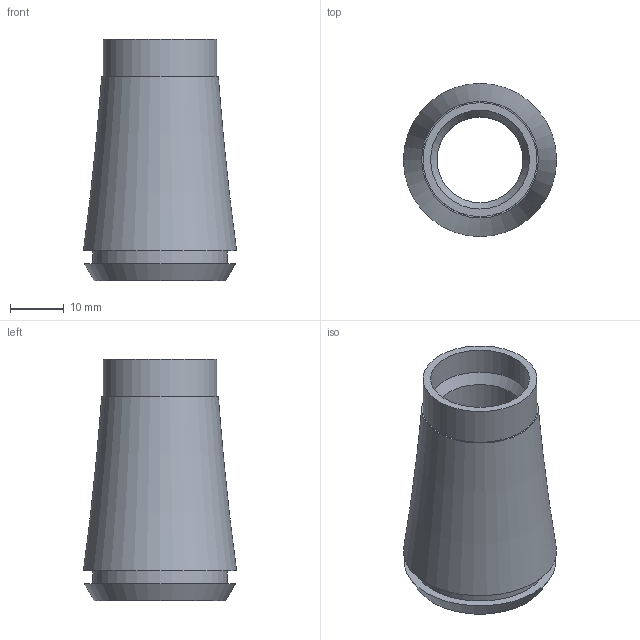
import cadquery as cq

total_height = 45.0
body_base_diameter = 28.5

flange_top = 3.2
body_bottom = 5.6
neck_bottom = 38.0

flange_base_diameter = 24.5
flange_rim_diameter = 28.2
groove_diameter = 25.1
body_top_diameter = 21.7
neck_diameter = 21.2
body_hollow = 0.25

bore_diameter = 16.0
socket_diameter = 18.4
socket_depth = 5.0
seat_height = 2.0


def outer_body():
    """Flange, groove, concave flared body and neck, revolved as one solid."""
    body_mid_radius = (body_base_diameter + body_top_diameter) / 4 - body_hollow
    body_mid_height = (body_bottom + neck_bottom) / 2
    profile = (
        cq.Workplane("XZ")
        .moveTo(0, 0)
        .lineTo(flange_base_diameter / 2, 0)
        .lineTo(flange_rim_diameter / 2, flange_top)
        .lineTo(groove_diameter / 2, flange_top)
        .lineTo(groove_diameter / 2, body_bottom)
        .lineTo(body_base_diameter / 2, body_bottom)
        .threePointArc(
            (body_mid_radius, body_mid_height),
            (body_top_diameter / 2, neck_bottom),
        )
        .lineTo(neck_diameter / 2, neck_bottom)
        .lineTo(neck_diameter / 2, total_height)
        .lineTo(0, total_height)
        .close()
    )
    return profile.revolve(360, (0, 0, 0), (0, 1, 0))


def stepped_bore():
    """Through bore that opens over a conical seat into a wider socket."""
    socket_bottom = total_height - socket_depth
    seat_bottom = socket_bottom - seat_height
    profile = (
        cq.Workplane("XZ")
        .moveTo(0, 0)
        .lineTo(bore_diameter / 2, 0)
        .lineTo(bore_diameter / 2, seat_bottom)
        .lineTo(socket_diameter / 2, socket_bottom)
        .lineTo(socket_diameter / 2, total_height)
        .lineTo(0, total_height)
        .close()
    )
    return profile.revolve(360, (0, 0, 0), (0, 1, 0))


result = outer_body().cut(stepped_bore())